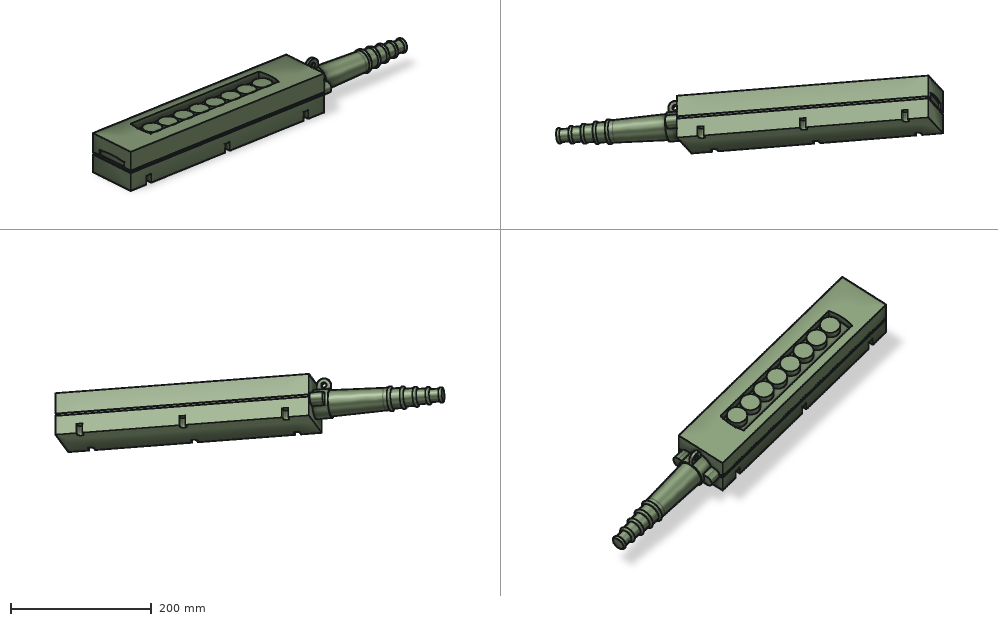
import cadquery as cq

TOTAL_LENGTH = 556.0
WIDTH = 80.0
LENGTH = 369.5
BASE_HEIGHT = 28.5
SEAM_HEIGHT = 3.5
SEAM_INSET = 1.5
COVER_HEIGHT = 30.5
COVER_BOTTOM = BASE_HEIGHT + SEAM_HEIGHT
HOUSING_TOP = COVER_BOTTOM + COVER_HEIGHT

BUTTON_COUNT = 8
BUTTON_PITCH = 30.0
BUTTON_RADIUS = 14.5
BUTTON_ROW_CENTRE = 182.5
POCKET_LEFT = -26.0
POCKET_RIGHT = 16.0
POCKET_SIDE_LENGTH = 244.5
POCKET_END_BULGE = 3.0
POCKET_DEPTH = 13.0
BUTTON_HEIGHT = 10.5

PANEL_HALF_WIDTH = 26.0
PANEL_SIDE_HEIGHT = 9.0
PANEL_CROWN = 2.0
PANEL_DEPTH = 3.0

NOTCH_RADIUS = 4.5
NOTCH_HEIGHT = 14.0
NOTCH_DEPTH = 12.0
NOTCH_PITCH = 150.0

AXIS_HEIGHT = 29.5
COLLAR_RADIUS = 21.0
COLLAR_LENGTH = 23.0
EAR_HALF_SPAN = 35.0
EAR_RADIUS = 9.0
EAR_LENGTH = 18.5
EYELET_RADIUS = 10.0
EYELET_HOLE_RADIUS = 4.0
EYELET_THICKNESS = 5.5
EYELET_TOP = 66.5

RING_COUNT = 5
RING_PITCH = 18.5
RING_WIDTH = 5.0
RING_RADIUS = 11.0
NECK_RADIUS = 9.5
RADIUS_STEP = 1.7
LAST_NECK_LENGTH = 6.0
SLEEVE_ROOT_RADIUS = 19.0


def block(width, length, height, bottom):
    """Box centred on X whose length is centred on the housing."""
    return cq.Workplane("XY").box(width, length, height, (True, True, False)).translate(
        (0, LENGTH / 2, bottom)
    )


def make_case():
    """Base and cover blocks joined by a slightly inset seam band."""
    base = block(WIDTH, LENGTH, BASE_HEIGHT, 0)
    seam = block(WIDTH - 2 * SEAM_INSET, LENGTH - 2 * SEAM_INSET, SEAM_HEIGHT, BASE_HEIGHT)
    cover = block(WIDTH, LENGTH, COVER_HEIGHT, COVER_BOTTOM)
    return base.union(seam).union(cover)


def button_pocket():
    """Long pocket in the cover, its two ends bowed outward."""
    middle = (POCKET_LEFT + POCKET_RIGHT) / 2
    near = BUTTON_ROW_CENTRE - POCKET_SIDE_LENGTH / 2
    far = BUTTON_ROW_CENTRE + POCKET_SIDE_LENGTH / 2
    return (
        cq.Workplane("XY", origin=(0, 0, HOUSING_TOP - POCKET_DEPTH))
        .moveTo(POCKET_LEFT, near)
        .threePointArc((middle, near - POCKET_END_BULGE), (POCKET_RIGHT, near))
        .lineTo(POCKET_RIGHT, far)
        .threePointArc((middle, far + POCKET_END_BULGE), (POCKET_LEFT, far))
        .close()
        .extrude(POCKET_DEPTH)
    )


def end_panel():
    """Shallow crowned recess at the bottom of the cover's end face."""
    side_top = COVER_BOTTOM + PANEL_SIDE_HEIGHT
    return (
        cq.Workplane("XZ")
        .moveTo(-PANEL_HALF_WIDTH, COVER_BOTTOM)
        .lineTo(-PANEL_HALF_WIDTH, side_top)
        .threePointArc((0, side_top + PANEL_CROWN), (PANEL_HALF_WIDTH, side_top))
        .lineTo(PANEL_HALF_WIDTH, COVER_BOTTOM)
        .close()
        .extrude(-PANEL_DEPTH)
    )


def side_notches():
    """Round-ended slots rising from the bottom, open at both long sides."""
    places = [
        (side * WIDTH / 2, LENGTH / 2 + step * NOTCH_PITCH)
        for side in (-1, 1)
        for step in (-1, 0, 1)
    ]
    slots = cq.Workplane("XY").pushPoints(places).slot2D(2 * NOTCH_DEPTH, 2 * NOTCH_RADIUS)
    return slots.extrude(NOTCH_HEIGHT)


def entry_plane():
    """Plane on the far end face, centred on the cable axis, facing +Y with local x toward -X."""
    return cq.Workplane(
        cq.Plane(origin=(0, LENGTH, AXIS_HEIGHT), xDir=(-1, 0, 0), normal=(0, 1, 0))
    )


def make_collar():
    """Round collar with a rounded ear on each side."""
    collar = entry_plane().circle(COLLAR_RADIUS).extrude(COLLAR_LENGTH)
    ears = entry_plane().slot2D(2 * EAR_HALF_SPAN, 2 * EAR_RADIUS).extrude(EAR_LENGTH)
    return collar.union(ears)


def make_eyelet():
    """Upright lug on the collar, with a round head and a hole across it."""
    centre_y = LENGTH + COLLAR_LENGTH - EYELET_RADIUS
    centre_z = EYELET_TOP - EYELET_RADIUS
    side_face = cq.Workplane("YZ", origin=(-EYELET_THICKNESS / 2, centre_y, centre_z))
    head = side_face.circle(EYELET_RADIUS).extrude(EYELET_THICKNESS)
    stem_height = centre_z - AXIS_HEIGHT
    stem = side_face.center(0, -stem_height / 2).rect(2 * EYELET_RADIUS, stem_height).extrude(EYELET_THICKNESS)
    hole = side_face.circle(EYELET_HOLE_RADIUS).extrude(EYELET_THICKNESS)
    return head.union(stem).cut(hole)


def make_sleeve():
    """Turned sleeve: five round-crested rings growing from the tip, then a taper into the collar."""
    start = LENGTH + COLLAR_LENGTH
    profile = (
        cq.Workplane("XY", origin=(0, 0, AXIS_HEIGHT))
        .moveTo(0, TOTAL_LENGTH)
        .lineTo(-NECK_RADIUS, TOTAL_LENGTH)
    )
    for step in range(RING_COUNT):
        crest = RING_RADIUS + step * RADIUS_STEP
        neck = NECK_RADIUS + step * RADIUS_STEP
        ring_start = TOTAL_LENGTH - step * RING_PITCH
        ring_end = ring_start - RING_WIDTH
        neck_end = ring_start - RING_PITCH
        if step == RING_COUNT - 1:
            neck_end = ring_end - LAST_NECK_LENGTH
        profile = profile.threePointArc((-crest, ring_start - RING_WIDTH / 2), (-neck, ring_end))
        profile = profile.lineTo(-neck, neck_end)
    profile = profile.lineTo(-SLEEVE_ROOT_RADIUS, start).lineTo(0, start).close()
    return profile.revolve(360, (0, 0, 0), (0, 1, 0))


def make_housing():
    """Case with its recesses, cable entry and sleeve as one body."""
    case = make_case().cut(button_pocket()).cut(end_panel()).cut(side_notches())
    return case.union(make_collar()).union(make_eyelet()).union(make_sleeve())


def make_button(index):
    """One round push button standing on the pocket floor, its top just below the cover."""
    y = BUTTON_ROW_CENTRE + (index - (BUTTON_COUNT - 1) / 2) * BUTTON_PITCH
    floor = cq.Workplane("XY", origin=(0, y, HOUSING_TOP - POCKET_DEPTH))
    return floor.circle(BUTTON_RADIUS).extrude(BUTTON_HEIGHT)


housing = make_housing()
buttons = [make_button(index) for index in range(BUTTON_COUNT)]

result = cq.Compound.makeCompound([housing.val(), *[button.val() for button in buttons]])